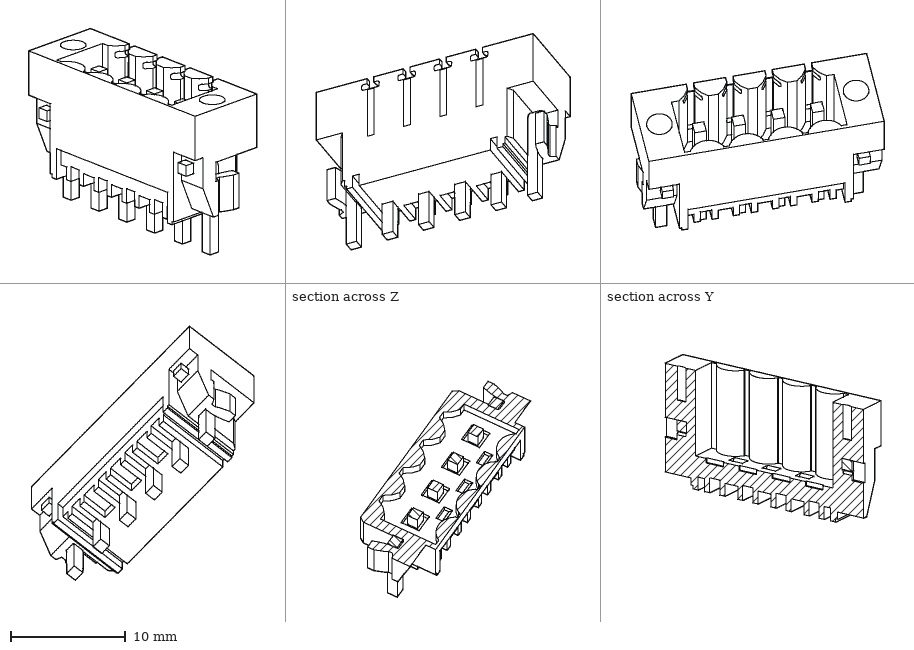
import cadquery as cq
import math


length = 20.95
depth = 7.45
height = 11.06
tail_length = 3.18

pitch = 3.5
contact_count = 4
contact_width = 1.03
pin_width = 1.0
pin_y = 3.5
pin_front = pin_y - pin_width / 2
contact_top = 9.9
arm_front = 0.1
arm_top = 6.03
arm_bottom = arm_top - pin_width
bend_inner_radius = 0.31

contact_xs = [(i - (contact_count - 1) / 2) * pitch for i in range(contact_count)]
gap_xs = [(i - (contact_count - 2) / 2) * pitch for i in range(contact_count - 1)]
fixing_x = (contact_count + 1) / 2 * pitch

end_face = -length / 2
end_length = 2.72
end_bottom = 0.96
relief_depth = 0.96
relief_top = 6.9
slope_top = 3.98
slope_foot_y = 2.22
foot_step_width = 0.2
foot_step_height = 0.31
screw_hole_diameter = 2.22
screw_hole_depth = 3.15

pocket_wall_inset = 2.15
pocket_sill = 4.23
window_front_y = 2.51
support_y = 2.91
support_chamfer = 0.52
pocket_chamfer_x = 0.35
pocket_chamfer_y = 0.5

clip_root_y = 2.83
clip_neck_inset = 0.5
clip_neck_start_y = 3.05
clip_neck_end_y = 3.44
clip_shoulder_inset = 0.35
clip_shoulder_y = 3.65
clip_flat_y = 4.65
clip_tip_y = 5.3
clip_tip_inset = 0.82
clip_inner_mid_inset = 1.09
clip_inner_mid_y = 4.4

cavity_length = 14.45
cavity_front = 0.31
cavity_back = 5.82
cavity_floor = 3.15
bump_half_width = 1.47
bump_back = 1.17
wall_notch_width = 0.5
wall_notch_front = 0.19

scallop_half_width = 1.32
scallop_knee_half_width = 0.75
scallop_knee_y = 6.28
scallop_back = 6.93
keyway_width = 0.65
keyway_floor = 9.93
lip_thickness = 0.55
latch_width = 1.68
latch_corner_radius = 0.19
slot_floor = 5.03
slot_web = 0.08

contact_recess_width = 1.8
floor_recess_depth = 0.42
coding_length = 1.42
coding_front = 1.17
coding_slope_foot = 1.55
coding_back = 2.01

front_recess_depth = 0.59
front_recess_top = 2.9
front_recess_length = 13.95
tooth_row_length = 12.65
end_gap_top = 1.2
tooth_gap_width = 1.32
solder_slot_top = 1.38


def box(x_range, y_range, z_range):
    """A block between the given limits."""
    (x0, x1), (y0, y1), (z0, z1) = x_range, y_range, z_range
    return cq.Workplane("XY").box(x1 - x0, y1 - y0, z1 - z0, centered=False).translate((x0, y0, z0))


def centred_box(x, width, y_range, z_range):
    """A block centred on x."""
    return box((x - width / 2, x + width / 2), y_range, z_range)


def both_ends(shape):
    """The shape at the -X end together with its mirror image at the +X end."""
    return shape.union(shape.mirror("YZ"))


def fixing_pin(x):
    pin_back = pin_front + pin_width
    outer_radius = bend_inner_radius + pin_width
    bend_y = pin_back - outer_radius
    bend_z = arm_top - outer_radius
    diagonal = math.sqrt(0.5)
    outline = (
        cq.Workplane("YZ")
        .moveTo(arm_front, arm_bottom)
        .lineTo(bend_y, arm_bottom)
        .threePointArc(
            (bend_y + bend_inner_radius * diagonal, bend_z + bend_inner_radius * diagonal),
            (pin_front, bend_z),
        )
        .lineTo(pin_front, -tail_length)
        .lineTo(pin_back, -tail_length)
        .lineTo(pin_back, bend_z)
        .threePointArc(
            (bend_y + outer_radius * diagonal, bend_z + outer_radius * diagonal),
            (bend_y, arm_top),
        )
        .lineTo(arm_front, arm_top)
        .close()
    )
    return outline.extrude(pin_width / 2, both=True).translate((x, 0, 0))


def contact_pin(x):
    return centred_box(x, contact_width, (pin_front, pin_front + pin_width), (-tail_length, contact_top))


def end_block_cuts():
    """Front relief with its slope, and the space under the end block."""
    inner_x = end_face + end_length
    relief = (
        cq.Workplane("YZ")
        .polyline(
            [
                (0, 0),
                (depth, 0),
                (depth, end_bottom),
                (slope_foot_y, end_bottom),
                (relief_depth, slope_top),
                (relief_depth, relief_top),
                (0, relief_top),
            ]
        )
        .close()
        .extrude(end_length)
        .translate((end_face, 0, 0))
    )
    foot_step = box((inner_x, inner_x + foot_step_width), (0, depth), (0, foot_step_height))
    return relief.union(foot_step)


def side_pocket():
    """Opening in the end face and back that lets the bent pin in."""
    wall_x = end_face + pocket_wall_inset
    pocket = (
        cq.Workplane("XY")
        .polyline(
            [
                (end_face, clip_root_y),
                (end_face, depth),
                (wall_x + pocket_chamfer_x, depth),
                (wall_x, depth - pocket_chamfer_y),
                (wall_x, clip_root_y),
            ]
        )
        .close()
        .extrude(arm_top)
    )
    window = box((end_face, wall_x), (window_front_y, depth), (pocket_sill, arm_top))
    return pocket.union(window)


def pin_support():
    """Chamfered block that backs the bent pin below its arm."""
    return (
        cq.Workplane("YZ")
        .polyline(
            [
                (support_y, end_bottom),
                (support_y, arm_bottom - support_chamfer),
                (support_y - support_chamfer, arm_bottom),
                (window_front_y - support_chamfer, arm_bottom),
                (window_front_y - support_chamfer, end_bottom),
            ]
        )
        .close()
        .extrude(pin_width / 2, both=True)
        .translate((-fixing_x, 0, 0))
    )


def spring_clip():
    """Curved finger that holds the bent pin from outside."""
    neck_x = end_face + clip_neck_inset
    pin_side = -fixing_x - pin_width / 2
    return (
        cq.Workplane("XY")
        .moveTo(end_face, clip_root_y)
        .lineTo(neck_x, clip_neck_start_y)
        .lineTo(neck_x, clip_neck_end_y)
        .lineTo(end_face + clip_shoulder_inset, clip_shoulder_y)
        .lineTo(end_face, clip_flat_y)
        .lineTo(end_face, clip_tip_y)
        .lineTo(end_face + clip_tip_inset, clip_tip_y)
        .threePointArc(
            (end_face + clip_inner_mid_inset, clip_inner_mid_y), (pin_side, clip_shoulder_y)
        )
        .lineTo(pin_side, clip_root_y)
        .close()
        .extrude(pocket_sill - end_bottom)
        .translate((0, 0, end_bottom))
    )


def screw_hole():
    return (
        cq.Workplane("XY")
        .center(-fixing_x, depth / 2)
        .circle(screw_hole_diameter / 2)
        .extrude(screw_hole_depth)
        .translate((0, 0, height - screw_hole_depth))
    )


def front_bump(x):
    """Rounded column on the front wall of the cavity."""
    return (
        cq.Workplane("XY")
        .moveTo(x - bump_half_width, cavity_front)
        .threePointArc((x, bump_back), (x + bump_half_width, cavity_front))
        .close()
        .extrude(height)
    )


def back_scallop(x):
    """Flared bay in the back wall, behind a contact."""
    return (
        cq.Workplane("XY")
        .polyline(
            [
                (x - scallop_half_width, cavity_back),
                (x - scallop_knee_half_width, scallop_knee_y),
                (x - keyway_width / 2, scallop_back),
                (x + keyway_width / 2, scallop_back),
                (x + scallop_knee_half_width, scallop_knee_y),
                (x + scallop_half_width, cavity_back),
            ]
        )
        .close()
        .extrude(height - cavity_floor)
        .translate((0, 0, cavity_floor))
    )


def latch_opening(x):
    """Keyway through the rim, a wider rounded opening under it, and a slot down to a thin back web."""
    latch_top = height - lip_thickness
    keyway = centred_box(x, keyway_width, (scallop_back, depth), (keyway_floor, height))
    latch = centred_box(x, latch_width, (cavity_back, depth), (keyway_floor, latch_top))
    latch = latch.edges("|Y").fillet(latch_corner_radius)
    slot = centred_box(x, keyway_width, (scallop_back, depth - slot_web), (slot_floor, keyway_floor))
    return keyway.union(latch).union(slot)


def cavity():
    space = centred_box(0, cavity_length, (cavity_front, cavity_back), (cavity_floor, height))
    for x in gap_xs:
        space = space.union(
            centred_box(x, wall_notch_width, (wall_notch_front, cavity_front), (cavity_floor, height))
        )
    for x in contact_xs:
        space = space.cut(front_bump(x)).union(back_scallop(x)).union(latch_opening(x))
    return space


def contact_recess(x):
    """Square recess around a contact."""
    y_range = (pin_y - contact_recess_width / 2, pin_y + contact_recess_width / 2)
    return centred_box(x, contact_recess_width, y_range, (cavity_floor - floor_recess_depth, cavity_floor))


def coding_recess(x):
    """Recess with a sloping front wall, between two contacts."""
    bottom = cavity_floor - floor_recess_depth
    return (
        cq.Workplane("YZ")
        .polyline(
            [
                (coding_front, cavity_floor),
                (coding_slope_foot, bottom),
                (coding_back, bottom),
                (coding_back, cavity_floor),
            ]
        )
        .close()
        .extrude(coding_length / 2, both=True)
        .translate((x, 0, 0))
    )


def underside_cuts():
    """Front recess, gaps between the teeth and a slot in front of each contact."""
    cuts = centred_box(0, front_recess_length, (0, front_recess_depth), (0, front_recess_top))
    row_ends = centred_box(0, front_recess_length, (0, depth), (0, end_gap_top))
    cuts = cuts.union(row_ends.cut(centred_box(0, tooth_row_length, (0, depth), (0, end_gap_top))))
    for x in gap_xs:
        cuts = cuts.union(centred_box(x, tooth_gap_width, (front_recess_depth, pin_front), (0, end_gap_top)))
    for x in contact_xs:
        cuts = cuts.union(centred_box(x, contact_width, (front_recess_depth, pin_front), (0, solder_slot_top)))
    return cuts


contact_pins = [contact_pin(x) for x in contact_xs]
fixing_pins = [fixing_pin(x) for x in (-fixing_x, fixing_x)]


def build_housing():
    body = centred_box(0, length, (0, depth), (0, height))
    body = body.cut(both_ends(side_pocket()))
    body = body.union(both_ends(spring_clip())).union(both_ends(pin_support()))
    body = body.cut(both_ends(end_block_cuts())).cut(both_ends(screw_hole()))
    body = body.cut(cavity())
    for x in contact_xs:
        body = body.cut(contact_recess(x))
    for x in gap_xs:
        body = body.cut(coding_recess(x))
    body = body.cut(underside_cuts())
    for pin in contact_pins + fixing_pins:
        body = body.cut(pin)
    return body


housing = build_housing()
result = cq.Compound.makeCompound([housing.val(), *[pin.val() for pin in contact_pins + fixing_pins]])